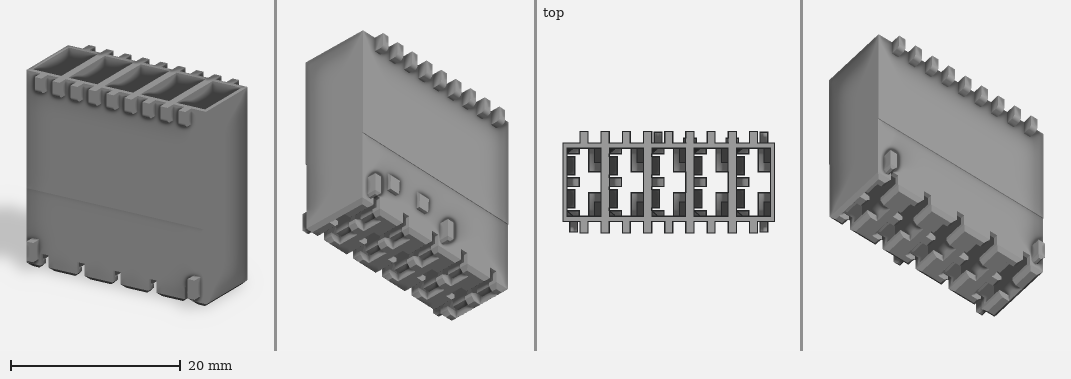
import cadquery as cq


LENGTH = 25
HEIGHT = 25
UPPER_WIDTH = 9.3
LOWER_WIDTH = 9.1
STEP_Z = 10
BASE_CHAMFER = 0.5

CELL_COUNT = 5
CELL_PITCH = LENGTH / CELL_COUNT
PARTITION = 1
CELL_LENGTH = CELL_PITCH - PARTITION
CELL_XS = [-LENGTH / 2 + PARTITION / 2 + i * CELL_PITCH for i in range(CELL_COUNT)]
UPPER_CELL_WIDTH = 8.1
LOWER_CELL_WIDTH = 8
FLOOR_Z = 1

NOTCH_OFFSET = 1.45
NOTCH_LENGTH = 1.1
NOTCH_HEIGHT = 2.05

LEFT_SLOT_INNER_Y = 0.52
LEFT_SLOT_OUTER_Y = 3.35
RIGHT_SLOT_WIDTH = 2.45

LATCH_INNER_Y = 0.88
LATCH_OUTER_Y = 3.02
LATCH_DEPTH = 0.92
LATCH_RISE = 3.9
LATCH_TIP_RISE = 0.38
CENTER_WEDGE_RISE = 0.6
CORNER_WEDGE_DEPTH = 0.75
CORNER_WEDGE_INNER_Y = 2.32
CORNER_WEDGE_RISE = 1.12
GUSSET_X = 0.72
GUSSET_Y = 0.6
GUSSET_RISE = 2

RIB_PITCH = CELL_PITCH / 2
RIB_COUNT = 9
RIB_SPAN = 12
RIB_HEIGHT = 2
RIB_RADIUS = 0.5
WALL_RIB_WIDTH = PARTITION
MID_RIB_WIDTH = 0.95

PEG_WIDTH = 0.95
PEG_TIP_Y = 5.9
PEG_BOTTOM_Z = 1.05
PEG_TOP_Z = 3.8
PEG_CHAMFER = 0.3
END_PEG_X = 11.22
FRONT_PEG_XS = (-END_PEG_X, END_PEG_X)
BACK_PEG_XS = (-1.25, END_PEG_X)

TOOTH_XS = (2.5, 7.5)
TOOTH_WIDTH = 1.5
TOOTH_BOTTOM_Z = PEG_TOP_Z
TOOTH_CREST_Z = 5.7
TOOTH_TOP_Z = 6.45
TOOTH_CREST_Y = 5.2
TOOTH_BOTTOM_Y = 5.08


def block(x0, x1, y0, y1, z0, z1):
    """Box between two opposite corners."""
    return cq.Workplane("XY").box(x1 - x0, y1 - y0, z1 - z0, centered=False).translate((x0, y0, z0))


def centered_block(length, width, z0, z1):
    """Box centred on the Z axis."""
    return block(-length / 2, length / 2, -width / 2, width / 2, z0, z1)


def wedge(wall_x, tip_x, y0, y1, rise, tip_rise=0):
    """Prism on the floor level, tallest at wall_x and sloping down to tip_rise at tip_x."""
    outline = [(wall_x, FLOOR_Z + rise), (wall_x, FLOOR_Z), (tip_x, FLOOR_Z)]
    if tip_rise > 0:
        outline.append((tip_x, FLOOR_Z + tip_rise))
    return cq.Workplane("XZ").polyline(outline).close().extrude(y0 - y1).translate((0, y0, 0))


def corner_gusset(x, y, y_leg):
    """Tetrahedron filling the corner between the floor and two walls."""
    corner = cq.Vector(x, y, FLOOR_Z)
    along_x = cq.Vector(x + GUSSET_X, y, FLOOR_Z)
    along_y = cq.Vector(x, y + y_leg, FLOOR_Z)
    peak = cq.Vector(x, y, FLOOR_Z + GUSSET_RISE)
    triangles = [
        (corner, along_x, along_y),
        (corner, along_x, peak),
        (corner, along_y, peak),
        (along_x, along_y, peak),
    ]
    faces = [cq.Face.makeFromWires(cq.Wire.makePolygon(t, close=True)) for t in triangles]
    return cq.Workplane(cq.Solid.makeSolid(cq.Shell.makeShell(faces)))


def make_base_blocks():
    """Blocks left between the notches, each chamfered all round its bottom."""
    edges = [-LENGTH / 2]
    for cell_x in CELL_XS:
        notch_x = cell_x + NOTCH_OFFSET
        edges += [notch_x, notch_x + NOTCH_LENGTH]
    edges.append(LENGTH / 2)
    half_width = LOWER_WIDTH / 2
    blocks = []
    for x0, x1 in zip(edges[::2], edges[1::2]):
        base_block = block(x0, x1, -half_width, half_width, 0, NOTCH_HEIGHT)
        blocks.append(base_block.faces("<Z").chamfer(BASE_CHAMFER))
    return blocks


def make_cell_cut(cell_x):
    """Cavity of one cell with the openings through its floor."""
    right_x = cell_x + CELL_LENGTH
    notch_x = cell_x + NOTCH_OFFSET
    center = ((cell_x + right_x) / 2, 0, 0)
    cut = centered_block(CELL_LENGTH, LOWER_CELL_WIDTH, FLOOR_Z, STEP_Z).translate(center)
    cut = cut.union(centered_block(CELL_LENGTH, UPPER_CELL_WIDTH, STEP_Z, HEIGHT).translate(center))
    half_slot = RIGHT_SLOT_WIDTH / 2
    cut = cut.union(block(notch_x, right_x, -half_slot, half_slot, 0, FLOOR_Z))
    left_slot = block(cell_x, notch_x, LEFT_SLOT_INNER_Y, LEFT_SLOT_OUTER_Y, 0, FLOOR_Z)
    return cut.union(left_slot).union(left_slot.mirror("XZ"))


def make_cell_details(cell_x):
    """Wedges and gussets of one cell; all but the centre wedge are mirrored in Y."""
    right_x = cell_x + CELL_LENGTH
    wall_y = LOWER_CELL_WIDTH / 2
    latch_tip_x = cell_x + LATCH_DEPTH
    half = [
        wedge(cell_x, latch_tip_x, LATCH_INNER_Y, LATCH_OUTER_Y, LATCH_RISE, LATCH_TIP_RISE),
        wedge(right_x, right_x - CORNER_WEDGE_DEPTH, CORNER_WEDGE_INNER_Y, wall_y, CORNER_WEDGE_RISE),
        corner_gusset(cell_x, wall_y, -GUSSET_Y),
    ]
    center = wedge(
        cell_x, cell_x + NOTCH_OFFSET, -LEFT_SLOT_INNER_Y, LEFT_SLOT_INNER_Y, CENTER_WEDGE_RISE
    )
    return half + [detail.mirror("XZ") for detail in half] + [center]


def make_rib(x, width):
    """Pair of rim ribs at one place, rounded on their lower outer edges."""
    bar = centered_block(width, RIB_SPAN, HEIGHT - RIB_HEIGHT, HEIGHT)
    bar = bar.edges("|X and <Z").fillet(RIB_RADIUS)
    bar = bar.cut(centered_block(width, UPPER_CELL_WIDTH, 0, HEIGHT))
    return bar.translate((x, 0, 0))


def make_peg(x):
    """Peg on the back face, chamfered at its lower end."""
    root_y = LOWER_CELL_WIDTH / 2
    peg = block(x - PEG_WIDTH / 2, x + PEG_WIDTH / 2, root_y, PEG_TIP_Y, PEG_BOTTOM_Z, PEG_TOP_Z)
    return peg.faces("<Z").edges("|Y or >Y").chamfer(PEG_CHAMFER)


def make_tooth(x):
    """Snap tooth on the back face, with a sloped top."""
    root_y = LOWER_WIDTH / 2
    outline = [
        (root_y, TOOTH_BOTTOM_Z),
        (TOOTH_BOTTOM_Y, TOOTH_BOTTOM_Z),
        (TOOTH_CREST_Y, TOOTH_CREST_Z),
        (root_y, TOOTH_TOP_Z),
    ]
    tooth = cq.Workplane("YZ").polyline(outline).close().extrude(TOOTH_WIDTH / 2, both=True)
    return tooth.translate((x, 0, 0))


body = centered_block(LENGTH, LOWER_WIDTH, NOTCH_HEIGHT, STEP_Z)
body = body.union(centered_block(LENGTH, UPPER_WIDTH, STEP_Z, HEIGHT))
for base_block in make_base_blocks():
    body = body.union(base_block)

for cell_x in CELL_XS:
    body = body.cut(make_cell_cut(cell_x))
    for detail in make_cell_details(cell_x):
        body = body.union(detail)

for i in range(RIB_COUNT):
    rib_x = (i - (RIB_COUNT - 1) / 2) * RIB_PITCH
    body = body.union(make_rib(rib_x, WALL_RIB_WIDTH if i % 2 else MID_RIB_WIDTH))

for peg_x in BACK_PEG_XS:
    body = body.union(make_peg(peg_x))
for peg_x in FRONT_PEG_XS:
    body = body.union(make_peg(peg_x).mirror("XZ"))

for tooth_x in TOOTH_XS:
    body = body.union(make_tooth(tooth_x))

result = body